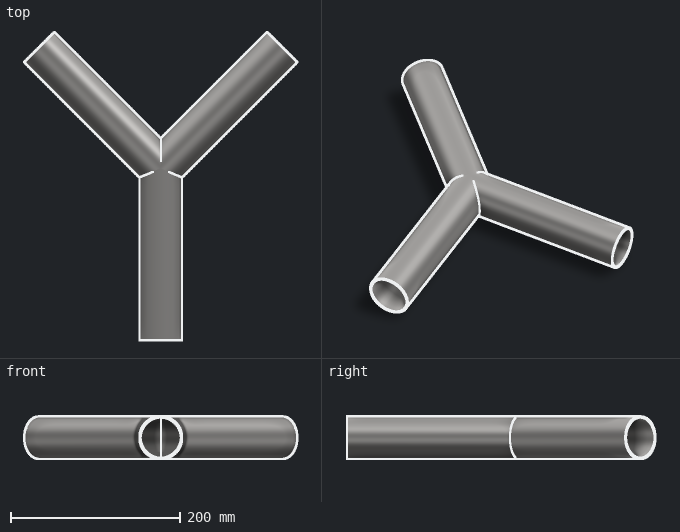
import cadquery as cq
import math

outer_diameter = 50.8
inner_diameter = 47.5
tube_length = 203.2

stem_angle = -90
branch_angles = (45, 135)


def rod(diameter, angle):
    """Solid cylinder from the junction point outward along the given direction."""
    heading = math.radians(angle)
    direction = cq.Vector(math.cos(heading), math.sin(heading), 0)
    return cq.Workplane(cq.Solid.makeCylinder(diameter / 2, tube_length, cq.Vector(0, 0, 0), direction))


def junction(diameter):
    """Three rods of one diameter merged, meeting in mitred seams."""
    body = rod(diameter, stem_angle)
    for angle in branch_angles:
        body = body.union(rod(diameter, angle))
    return body


result = junction(outer_diameter).cut(junction(inner_diameter))